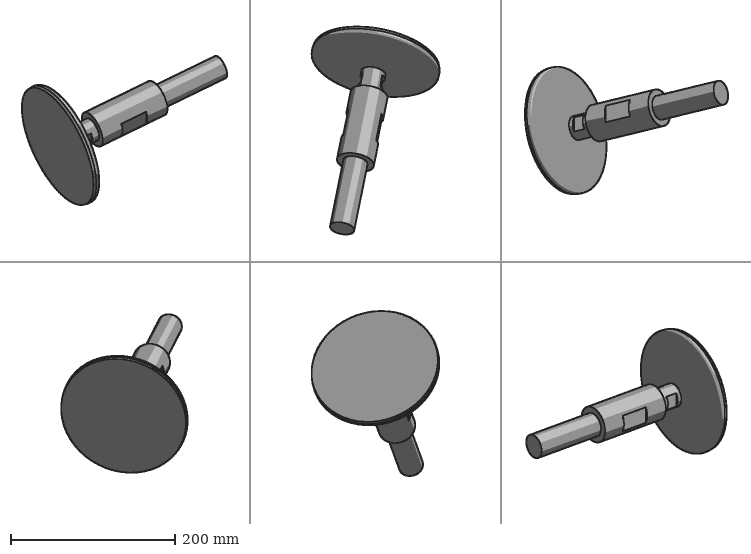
import cadquery as cq
import math

total_length = 239.0

stem_diameter = 30.0
sleeve_diameter = 46.0
sleeve_start = 51.0
sleeve_end = 146.0

rim_diameter = 158.0
pad_bottom_diameter = 156.5
pad_height = 3.5
rim_top = 6.7
cone_end = 20.3
cone_angle = math.radians(10.0)

corner_height = cone_end - (rim_diameter - stem_diameter) / 2 * math.tan(cone_angle)
tangent_length = corner_height - rim_top
cone_start_radius = rim_diameter / 2 - tangent_length * math.cos(cone_angle)
cone_start = corner_height + tangent_length * math.sin(cone_angle)

stem_flat_start = 26.0
stem_flat_length = 15.0
stem_across_flats = 24.0
sleeve_flat_start = 80.0
sleeve_flat_length = 36.3
sleeve_across_flats = 40.6


def cylinder(diameter, start, end):
    """Cylinder on the Y axis between two heights."""
    return cq.Workplane("XZ", origin=(0, start, 0)).circle(diameter / 2).extrude(start - end)


def cut_flats(body, diameter, start, length, across_flats):
    """Cut two opposite flats into a round section of the body."""
    depth = (diameter - across_flats) / 2
    for side in (-1, 1):
        cutter = cq.Workplane("XY").box(2 * depth, length, diameter)
        cutter = cutter.translate((side * (across_flats / 2 + depth), start + length / 2, 0))
        body = body.cut(cutter)
    return body


def make_pad():
    """Flat disc that widens slightly from its underside to the plate."""
    return (
        cq.Workplane("XY")
        .lineTo(pad_bottom_diameter / 2, 0)
        .lineTo(rim_diameter / 2, pad_height)
        .lineTo(0, pad_height)
        .close()
        .revolve(360, (0, 0, 0), (0, 1, 0))
    )


def make_spindle():
    """Conical plate, stem and sleeve in one piece."""
    plate = (
        cq.Workplane("XY")
        .moveTo(0, pad_height)
        .lineTo(rim_diameter / 2, pad_height)
        .lineTo(rim_diameter / 2, rim_top)
        .tangentArcPoint((cone_start_radius, cone_start), relative=False)
        .lineTo(stem_diameter / 2, cone_end)
        .lineTo(0, cone_end)
        .close()
        .revolve(360, (0, 0, 0), (0, 1, 0))
    )
    stem = cylinder(stem_diameter, cone_end, total_length)
    stem = cut_flats(stem, stem_diameter, stem_flat_start, stem_flat_length, stem_across_flats)
    sleeve = cylinder(sleeve_diameter, sleeve_start, sleeve_end)
    sleeve = cut_flats(sleeve, sleeve_diameter, sleeve_flat_start, sleeve_flat_length, sleeve_across_flats)
    return plate.union(stem).union(sleeve)


pad = make_pad()
spindle = make_spindle()

result = cq.Compound.makeCompound([pad.val(), spindle.val()])